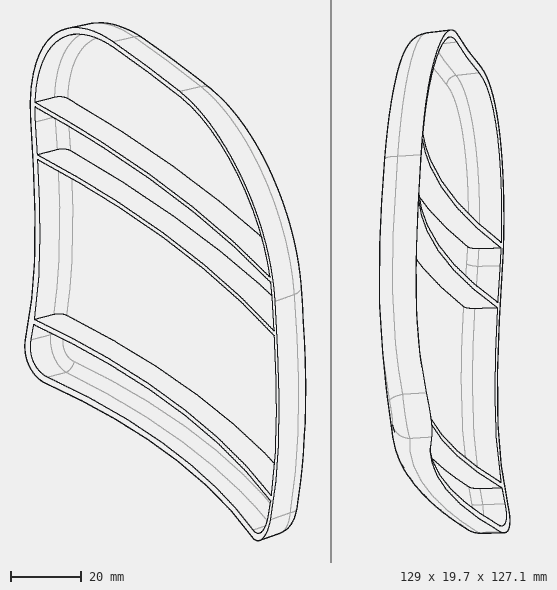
import cadquery as cq
import math

half_width = 64.57
height = 127.1
crown_radius = 47.0
foot_radius = 10.3

draft_angle = 4.0
wall = 2.0
outer_round = 5.0
inner_round = outer_round - wall

rib_thickness = 1.6
rib_heights = (15.8, 68.6, 86.0)

rim_stations = (
    (-8.0, 6.9, -3.6),
    (10.0, 9.3, 1.1),
    (30.0, 10.3, 3.8),
    (52.0, 9.9, 4.1),
    (80.0, 7.8, 2.8),
    (105.0, 4.6, 0.5),
    (135.0, -0.3, -3.8),
)
back_stations = (
    (-8.0, 16.6, 7.4),
    (10.0, 19.0, 11.7),
    (30.0, 20.0, 14.4),
    (52.0, 19.7, 15.0),
    (80.0, 17.9, 13.6),
    (105.0, 15.2, 11.2),
    (135.0, 10.4, 6.7),
)

front_plane = -10.0
back_plane = 30.0
slab_half_width = half_width + 10.0


def outline_wire(y, inset):
    """Closed outline at depth y, moved inwards by inset all round."""
    lean = y * math.tan(math.radians(draft_angle))
    side = half_width - inset - lean
    top = height - inset - lean
    bottom = inset
    crown = crown_radius - inset - lean
    foot = foot_radius - inset
    diagonal = math.sqrt(0.5)
    crown_x = side - crown
    crown_z = top - crown
    foot_x = side - foot
    foot_z = bottom + foot
    sketch = (
        cq.Workplane("XZ", origin=(0, y, 0))
        .moveTo(-foot_x, bottom)
        .lineTo(foot_x, bottom)
        .threePointArc((foot_x + foot * diagonal, foot_z - foot * diagonal), (side, foot_z))
        .lineTo(side, crown_z)
        .threePointArc((crown_x + crown * diagonal, crown_z + crown * diagonal), (crown_x, top))
        .lineTo(-crown_x, top)
        .threePointArc((-crown_x - crown * diagonal, crown_z + crown * diagonal), (-side, crown_z))
        .lineTo(-side, foot_z)
        .threePointArc((-foot_x - foot * diagonal, foot_z - foot * diagonal), (-foot_x, bottom))
        .close()
    )
    return sketch.val()


def drafted_block(inset):
    """Outline carried from the front plane to the back plane with draft."""
    wires = [outline_wire(front_plane, inset), outline_wire(back_plane, inset)]
    return cq.Workplane(cq.Solid.makeLoft(wires, True))


def slab_edge_depth(middle_y, edge_y):
    """Depth where a cross-section, carried on beyond half width, meets the slab side."""
    return middle_y - (middle_y - edge_y) * (slab_half_width / half_width) ** 2


def curved_slab(front_offset, back_offset):
    """Solid between the rim and back surfaces, each shifted along Y by its offset."""
    sections = []
    for (z, rim_middle, rim_edge), (_, back_middle, back_edge) in zip(rim_stations, back_stations):
        rim_end = slab_edge_depth(rim_middle, rim_edge) + front_offset
        back_end = slab_edge_depth(back_middle, back_edge) + back_offset
        section = (
            cq.Workplane("XY", origin=(0, 0, z))
            .moveTo(-slab_half_width, rim_end)
            .threePointArc((0, rim_middle + front_offset), (slab_half_width, rim_end))
            .lineTo(slab_half_width, back_end)
            .threePointArc((0, back_middle + back_offset), (-slab_half_width, back_end))
            .close()
        )
        sections.append(section.val())
    return cq.Workplane(cq.Solid.makeLoft(sections, False))


def rounded_body(inset, front_offset, back_offset, radius):
    """Drafted block trimmed to a curved slab, with its back edge rounded."""
    body = drafted_block(inset).intersect(curved_slab(front_offset, back_offset))
    return body.faces(">Y").edges().fillet(radius)


def ribs(envelope):
    """Cross ribs, flush with the rim and trimmed to the given envelope."""
    slabs = cq.Workplane("XY")
    for z in rib_heights:
        slab = cq.Workplane("XY", origin=(0, 0, z)).box(
            2 * slab_half_width, 2 * back_plane, rib_thickness
        )
        slabs.add(slab)
    return slabs.combine().intersect(envelope)


shell_body = rounded_body(0.0, 0.0, 0.0, outer_round)
cavity = rounded_body(wall, -wall, -wall, inner_round)
rib_envelope = shell_body.intersect(drafted_block(wall / 2))
result = shell_body.cut(cavity).union(ribs(rib_envelope))